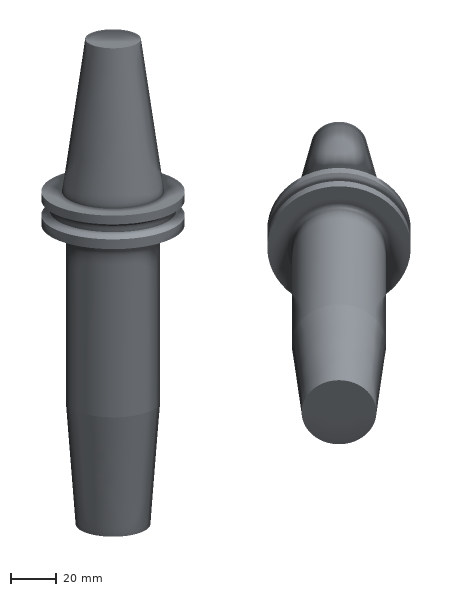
import cadquery as cq

total_length = 228.5
shank_length = 71.7
flange_thickness = 15.8
nose_length = 57.8

shank_base_diameter = 45.2
shank_end_diameter = 24.7

flange_diameter = 63.5
groove_diameter = 56.0
upper_rim_thickness = 4.0
lower_rim_thickness = 4.5
groove_wall_height = 2.0

body_diameter = 41.8
body_fillet = 2.0
nose_tip_diameter = 33.1

flange_top = total_length - shank_length
flange_bottom = flange_top - flange_thickness


def make_body():
    """Conical nose below a cylindrical body reaching the flange."""
    return (
        cq.Workplane("XZ")
        .lineTo(nose_tip_diameter / 2, 0)
        .lineTo(body_diameter / 2, nose_length)
        .lineTo(body_diameter / 2, flange_bottom - body_fillet)
        .radiusArc((body_diameter / 2 + body_fillet, flange_bottom), body_fillet)
        .lineTo(0, flange_bottom)
        .close()
        .revolve(360, (0, 0), (0, 1))
    )


def make_flange():
    """Disc with a V-sided, flat-bottomed groove around its rim."""
    rim_radius = flange_diameter / 2
    groove_radius = groove_diameter / 2
    groove_top = flange_top - upper_rim_thickness
    groove_bottom = flange_bottom + lower_rim_thickness
    disc = cq.Workplane("XY").workplane(offset=flange_bottom).circle(rim_radius).extrude(flange_thickness)
    groove = (
        cq.Workplane("XZ")
        .moveTo(rim_radius, groove_bottom)
        .lineTo(groove_radius, groove_bottom + groove_wall_height)
        .lineTo(groove_radius, groove_top - groove_wall_height)
        .lineTo(rim_radius, groove_top)
        .close()
        .revolve(360, (0, 0), (0, 1))
    )
    return disc.cut(groove)


def make_shank():
    """Cone narrowing from the flange to a flat end."""
    return (
        cq.Workplane("XZ")
        .moveTo(0, flange_top)
        .lineTo(shank_base_diameter / 2, flange_top)
        .lineTo(shank_end_diameter / 2, total_length)
        .lineTo(0, total_length)
        .close()
        .revolve(360, (0, 0), (0, 1))
    )


result = make_body().union(make_flange()).union(make_shank())